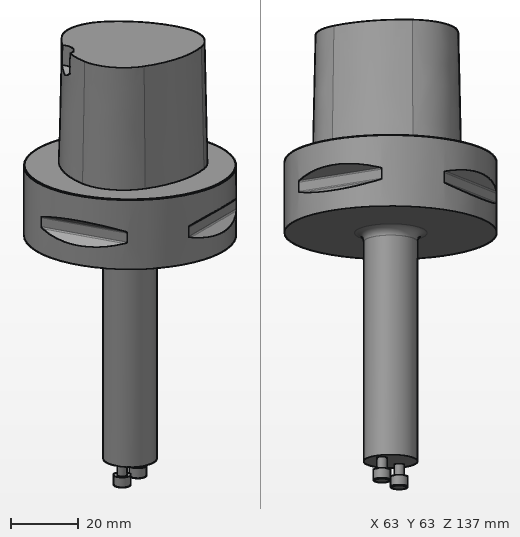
import cadquery as cq
import math


overall_length = 137

taper_height = 38.1
lobe_reach = 23.3
flat_reach = 20.7
lobe_radius = 15.5
lobe_pitch = 360 / 3
half_pitch = lobe_pitch / 2
lobe_angles = [90 + i * lobe_pitch for i in range(3)]
taper_inset = 0.8

notch_radius = 5.0
notch_center_y = -22.5
notch_depth = 6.3
notch_tip_depth = 3.3

flange_radius = 63 / 2
flange_height = 21.9
flange_chamfer = 0.3
groove_floor_distance = 28.0
groove_floor_width = 3.4
groove_mouth_width = 7.8
groove_depth_below_top = 11.9
groove_floor_fillet = 0.5
groove_overshoot = 1.4
groove_angles = (45, 135, 225, 315)

shaft_radius = 16.0 / 2
shaft_length = 70.0
root_fillet = 2.7

pin_circle_radius = 4.8
pin_angles = (135, 315)
stem_radius = 3.0 / 2
head_radius = 5.2 / 2
head_height = 3.3
head_chamfer = 0.3
shaft_bottom = -flange_height - shaft_length
pin_bottom = taper_height - overall_length
pin_length = shaft_bottom - pin_bottom


def polar(radius, degrees, origin=(0, 0)):
    """Point at a radius and angle around an origin."""
    angle = math.radians(degrees)
    return (origin[0] + radius * math.cos(angle), origin[1] + radius * math.sin(angle))


def lobed_outline(plane, inset):
    """Add a closed outline of three lobe arcs and three tangent side arcs."""
    lobe_center = lobe_reach - lobe_radius
    gap = flat_reach - lobe_radius
    side_center = (lobe_center**2 - gap**2) / (2 * gap - lobe_center)
    side_half_angle = math.degrees(
        math.atan2(lobe_center * math.sin(math.radians(half_pitch)),
                   side_center + lobe_center * math.cos(math.radians(half_pitch)))
    )
    lobe_half_angle = half_pitch - side_half_angle
    radius = lobe_radius - inset

    def lobe_edge(lobe_angle, offset):
        """Point on a lobe's arc, at an angular offset from its tip."""
        return polar(radius, lobe_angle + offset, polar(lobe_center, lobe_angle))

    outline = plane.moveTo(*lobe_edge(lobe_angles[0], -lobe_half_angle))
    for lobe_angle in lobe_angles:
        next_lobe = lobe_angle + lobe_pitch
        outline = outline.threePointArc(
            polar(lobe_reach - inset, lobe_angle),
            lobe_edge(lobe_angle, lobe_half_angle),
        ).threePointArc(
            polar(flat_reach - inset, lobe_angle + half_pitch),
            lobe_edge(next_lobe, -lobe_half_angle),
        )
    return outline.close()


def make_taper():
    """Taper between the full outline at the flange and the shrunken one on top."""
    base = lobed_outline(cq.Workplane("XY"), 0)
    top_plane = base.workplane(offset=taper_height)
    return lobed_outline(top_plane, taper_inset).loft(ruled=True, combine=True)


def make_notch():
    """Vertical drill hole with a conical bottom, breaking out through the taper's side."""
    straight_end = taper_height - notch_depth
    return (
        cq.Workplane("XZ")
        .moveTo(0, straight_end - notch_tip_depth)
        .lineTo(notch_radius, straight_end)
        .lineTo(notch_radius, taper_height)
        .lineTo(0, taper_height)
        .close()
        .revolve(360, (0, 0), (0, 1))
        .translate((0, notch_center_y, 0))
    )


def make_groove(angle):
    """Straight groove across the flange rim with a flat floor, rounded corners and sloping walls."""
    half_floor = groove_floor_width / 2
    wall_slope = (groove_mouth_width / 2 - half_floor) / (flange_radius - groove_floor_distance)
    outer = flange_radius + groove_overshoot
    half_outer = half_floor + wall_slope * (outer - groove_floor_distance)
    return (
        cq.Workplane("XZ")
        .polyline([
            (groove_floor_distance, -half_floor),
            (outer, -half_outer),
            (outer, half_outer),
            (groove_floor_distance, half_floor),
        ])
        .close()
        .extrude(flange_radius, both=True)
        .faces("<X")
        .edges("|Y")
        .fillet(groove_floor_fillet)
        .translate((0, 0, -groove_depth_below_top))
        .rotate((0, 0, 0), (0, 0, 1), angle)
    )


def make_flange():
    """Disc with a chamfered upper rim and four grooves."""
    flange = (
        cq.Workplane("XY")
        .circle(flange_radius)
        .extrude(-flange_height)
        .faces(">Z")
        .chamfer(flange_chamfer)
    )
    for angle in groove_angles:
        flange = flange.cut(make_groove(angle))
    return flange


def make_shaft():
    """Shaft with a concave fillet where it meets the flange."""
    root = -flange_height
    fillet_center = (shaft_radius + root_fillet, root - root_fillet)
    return (
        cq.Workplane("XZ")
        .moveTo(0, root)
        .lineTo(shaft_radius + root_fillet, root)
        .threePointArc(polar(root_fillet, 135, fillet_center), (shaft_radius, root - root_fillet))
        .lineTo(shaft_radius, shaft_bottom)
        .lineTo(0, shaft_bottom)
        .close()
        .revolve(360, (0, 0), (0, 1))
    )


def make_pin(x, y):
    """Pin with a chamfered cylindrical head at its lower end."""
    stem = cq.Workplane("XY", origin=(x, y, pin_bottom)).circle(stem_radius).extrude(pin_length)
    head = (
        cq.Workplane("XY", origin=(x, y, pin_bottom))
        .circle(head_radius)
        .extrude(head_height)
        .faces("<Z")
        .chamfer(head_chamfer)
    )
    return stem.union(head)


result = make_taper().cut(make_notch()).union(make_flange()).union(make_shaft())
for pin_angle in pin_angles:
    result = result.union(make_pin(*polar(pin_circle_radius, pin_angle)))